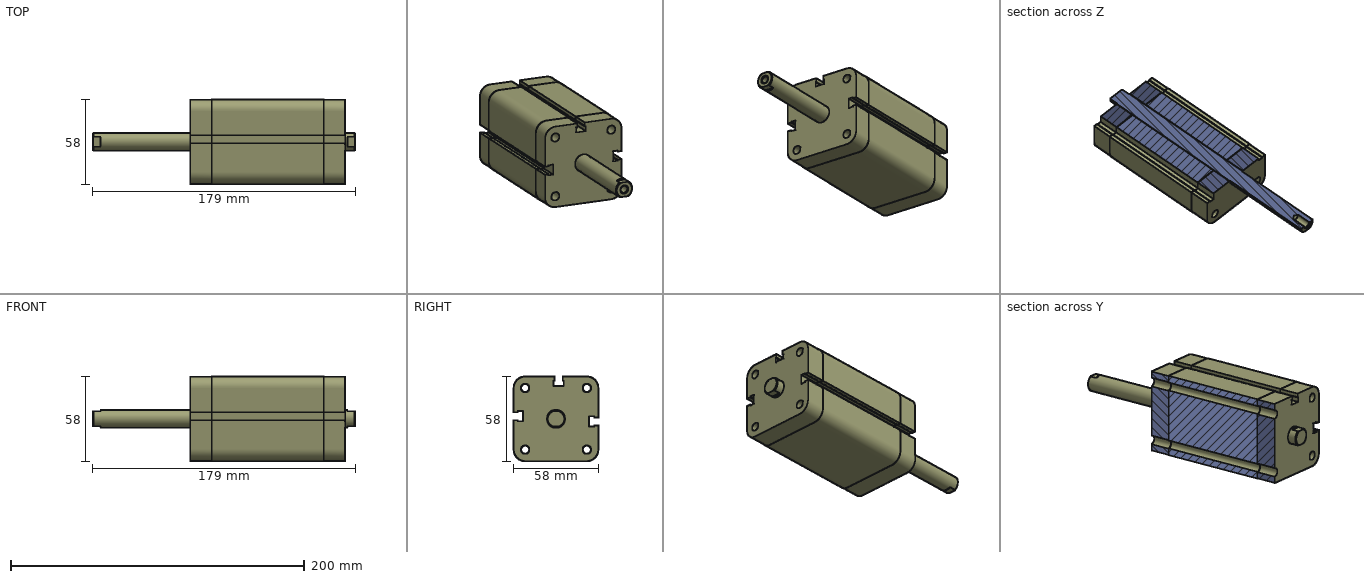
import cadquery as cq
import math


total_length = 179
front_reach = 66.4
cap_length = 14.7
tube_length = 76.5

tube_side = 58.0
cap_side = 57.6
corner_radius = 8.0
screw_spacing = 42.0
cap_screw_hole_diameter = 5.9
tube_screw_hole_diameter = 5.4

slot_offset = 1.8
slot_depth = 6.5
slot_lip = 3.0
slot_undercut = 0.7
cap_slot_width = 5.7
tube_slot_width = 5.4
slot_turns = (0, 90, -90)

rod_diameter = 12.4
flats_width = 10.4
flats_length = 5.2
run_out_length = 0.4
tip_chamfer = 0.5
tip_hole_diameter = 4.8
hole_chamfer = 0.5
tip_hole_depth = 10.7
drill_tip_angle = 118


def slot_cutter(start, length, neck_width):
    """Slot in the +Z face: a narrow neck over a wider channel."""
    top = tube_side / 2
    floor = top - slot_depth
    channel_height = slot_depth - slot_lip
    neck = cq.Workplane("XY").box(length, neck_width, slot_depth, centered=(False, True, False))
    channel = cq.Workplane("XY").box(
        length, neck_width + 2 * slot_undercut, channel_height, centered=(False, True, False)
    )
    return neck.union(channel).translate((start, slot_offset, floor))


def body_section(start, length, side, slot_width, screw_hole_diameter):
    """One slice of the square body, with the rod bore, screw holes and slots."""
    edge_radius = corner_radius - (tube_side - side) / 2
    section = (
        cq.Workplane("YZ", origin=(start, 0, 0))
        .rect(side, side)
        .extrude(length)
        .edges("|X")
        .fillet(edge_radius)
        .faces("<X")
        .workplane(centerOption="CenterOfBoundBox")
        .hole(rod_diameter)
        .faces("<X")
        .workplane(centerOption="CenterOfBoundBox")
        .rect(screw_spacing, screw_spacing, forConstruction=True)
        .vertices()
        .hole(screw_hole_diameter)
    )
    cutter = slot_cutter(start, length, slot_width)
    for turn in slot_turns:
        section = section.cut(cutter.rotate((0, 0, 0), (1, 0, 0), turn))
    return section


def flat_cutter(tip, inward):
    """Wedge above the +Z flat at one rod tip, ending in a short sloped run-out."""
    flat_end = tip + inward * flats_length
    run_out = flat_end + inward * run_out_length
    low = flats_width / 2
    high = rod_diameter / 2
    return (
        cq.Workplane("XZ")
        .polyline([(tip, low), (flat_end, low), (run_out, high), (tip, high)])
        .close()
        .extrude(rod_diameter / 2, both=True)
    )


def make_rod():
    """Through rod with a pair of wrench flats at each tip and a drilled, chamfered hole in the front tip."""
    front_tip = -front_reach
    rear_tip = front_tip + total_length
    radius = rod_diameter / 2
    hole_radius = tip_hole_diameter / 2
    mouth_radius = hole_radius + hole_chamfer
    hole_floor = front_tip + tip_hole_depth
    drill_tip_length = hole_radius / math.tan(math.radians(drill_tip_angle / 2))
    profile = [
        (hole_floor + drill_tip_length, 0),
        (hole_floor, hole_radius),
        (front_tip + hole_chamfer, hole_radius),
        (front_tip, mouth_radius),
        (front_tip, radius - tip_chamfer),
        (front_tip + tip_chamfer, radius),
        (rear_tip - tip_chamfer, radius),
        (rear_tip, radius - tip_chamfer),
        (rear_tip, 0),
    ]
    rod = cq.Workplane("XZ").polyline(profile).close().revolve(360, (0, 0, 0), (1, 0, 0))
    for tip, inward in ((front_tip, 1), (rear_tip, -1)):
        flat = flat_cutter(tip, inward)
        rod = rod.cut(flat).cut(flat.mirror("XY"))
    return rod


tube = body_section(cap_length, tube_length, tube_side, tube_slot_width, tube_screw_hole_diameter)

rear_cap_start = cap_length + tube_length
caps = []
for cap_start in (0, rear_cap_start):
    cap = body_section(cap_start, cap_length, cap_side, cap_slot_width, cap_screw_hole_diameter)
    caps.append(cap.val())

rod = make_rod()

result = cq.Compound.makeCompound([tube.val(), *caps, rod.val()])